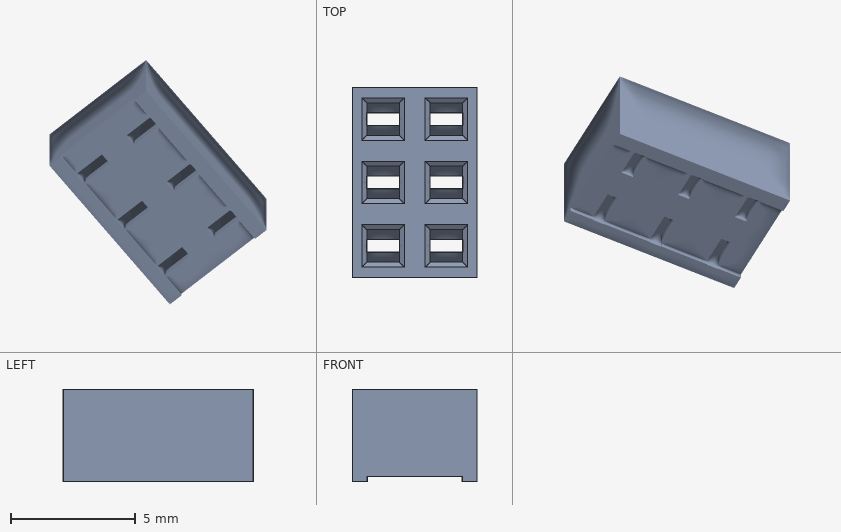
import cadquery as cq

row_count = 3
column_count = 2
pitch = 2.54
width = 5.0
length = row_count * pitch
height = 3.7

foot_width = 0.6
foot_height = 0.2

well_side = 1.3
mouth_side = 1.7
mouth_depth = 0.2
floor_thickness = 0.5
slot_width = 0.5

floor_top = foot_height + floor_thickness


def make_housing():
    """Block standing on Z = 0 with a full-length recess between its feet."""
    block = cq.Workplane("XY").box(width, length, height, centered=(True, True, False))
    recess = cq.Workplane("XY").box(
        width - 2 * foot_width, length, foot_height, centered=(True, True, False)
    )
    return block.cut(recess)


def make_cavity():
    """Volume removed for one contact, centred on the Z axis."""
    mouth = (
        cq.Workplane("XY", origin=(0, 0, height - mouth_depth))
        .rect(well_side, well_side)
        .workplane(offset=mouth_depth)
        .rect(mouth_side, mouth_side)
        .loft(ruled=True)
    )
    well = (
        cq.Workplane("XY", origin=(0, 0, floor_top))
        .rect(well_side, well_side)
        .extrude(height - mouth_depth - floor_top)
    )
    slot = cq.Workplane("XY").rect(well_side, slot_width).extrude(floor_top)
    return mouth.union(well).union(slot)


result = make_housing()
cavity = make_cavity()
for column in range(column_count):
    for row in range(row_count):
        x = (column - (column_count - 1) / 2) * pitch
        y = (row - (row_count - 1) / 2) * pitch
        result = result.cut(cavity.translate((x, y, 0)))